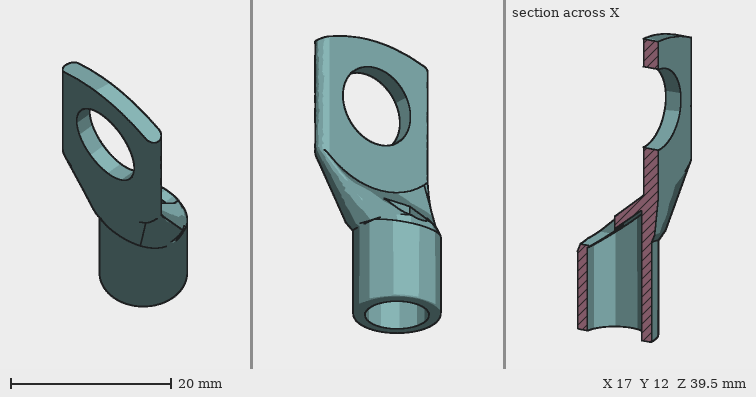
import cadquery as cq
import math

height = 39.45
depth = 12.0

barrel_dia = 11.0
bore_dia = 8.0
mouth_fillet = 0.28
barrel_r = barrel_dia / 2
bore_end_axis_z = 13.92
bore_end_slope = 0.77

palm_width = 17.0
palm_thickness = 2.25
palm_top_corner_z = 37.65
palm_low_corner_z = 22.8
palm_low_mid_z = 19.0
palm_hole_dia = 10.5
palm_hole_z = 30.53
palm_edge_r = palm_thickness / 2
palm_flat_half = palm_width / 2 - palm_edge_r
palm_front_y = barrel_r - depth
palm_back_y = palm_front_y + palm_thickness
palm_mid_y = palm_front_y + palm_edge_r

edge_arc_r = 8.87
edge_low_y = 0.4
edge_low_z = 10.85
edge_back_z = 10.18
front_corner_y = -3.75
back_corner_y = 2.13

collar_foot_r = 4.55
collar_foot_z = 5.9

rim_front = cq.Vector(0, -5.95, 14.1)
rim_front_corner = cq.Vector(4.5, -4.7, 13.35)
rim_side = cq.Vector(5.5, -1.4, 11.55)
rim_back_corner = cq.Vector(4.95, back_corner_y, 11.1)
rim_back = cq.Vector(0, 4.9, 11.67)

window_dia = 3.95
window_z = 13.17
window_top_z = 17.75

join_tolerance = 0.001
curve_steps = 12
fractions = [step / curve_steps for step in range(curve_steps + 1)]


def mirrored(point):
    """Return the matching point on the other side of the YZ plane."""
    return cq.Vector(-point.x, point.y, point.z)


def barrel_edge_z(y):
    """Height of the upper edge of the barrel."""
    if y > back_corner_y:
        fall = (y - back_corner_y) / (barrel_r - back_corner_y)
        start_z = barrel_edge_z(back_corner_y)
        return start_z + (edge_back_z - start_z) * fall
    return edge_low_z + edge_arc_r - math.sqrt(edge_arc_r**2 - (y - edge_low_y) ** 2)


def collar_foot_level(y):
    """Level height of the foot of the collar."""
    return collar_foot_z


def round_ring(radius, z_at):
    """Ring around the barrel axis, split at the corners: front, right, back, left."""
    front_angle = math.asin(front_corner_y / barrel_r)
    back_angle = math.asin(back_corner_y / barrel_r)
    corners = [
        -math.pi - front_angle,
        front_angle,
        back_angle,
        math.pi - back_angle,
        math.pi - front_angle,
    ]
    arcs = []
    for start, end in zip(corners, corners[1:]):
        points = []
        for t in fractions:
            angle = start + (end - start) * t
            y_on_barrel = barrel_r * math.sin(angle)
            points.append(cq.Vector(radius * math.cos(angle), radius * math.sin(angle), z_at(y_on_barrel)))
        arcs.append(cq.Edge.makeSpline(points, parameters=fractions))
    return cq.Wire.assembleEdges(arcs)


def rim_ring():
    """Ring at the foot of the shoulder, in the same order as the barrel ring."""
    arcs = [
        cq.Edge.makeThreePointArc(mirrored(rim_front_corner), rim_front, rim_front_corner),
        cq.Edge.makeThreePointArc(rim_front_corner, rim_side, rim_back_corner),
        cq.Edge.makeThreePointArc(rim_back_corner, rim_back, mirrored(rim_back_corner)),
        cq.Edge.makeThreePointArc(mirrored(rim_back_corner), mirrored(rim_side), mirrored(rim_front_corner)),
    ]
    return cq.Wire.assembleEdges(arcs)


def palm_low_z(x):
    """Height of the arched lower boundary of the palm."""
    rise = palm_low_corner_z - palm_low_mid_z
    arch_r = ((palm_width / 2) ** 2 + rise**2) / (2 * rise)
    return palm_low_mid_z + arch_r - math.sqrt(arch_r**2 - x**2)


def palm_level_z(x):
    """Level upper end of the palm before its top is rounded."""
    return height


def palm_point(x, y, z_at):
    return cq.Vector(x, y, z_at(x))


def palm_flat(side, y, z_at):
    """Edge across one flat face of the palm, starting on the given side."""
    points = [palm_point(side * palm_flat_half * (1 - 2 * t), y, z_at) for t in fractions]
    return cq.Edge.makeSpline(points, parameters=fractions)


def palm_round(side, z_at):
    """Half circle around one long edge of the palm, seen along Z."""
    points = []
    for t in fractions:
        angle = side * math.pi * (t - 0.5)
        x = side * (palm_flat_half + palm_edge_r * math.cos(angle))
        points.append(palm_point(x, palm_mid_y + palm_edge_r * math.sin(angle), z_at))
    return cq.Edge.makeSpline(points, parameters=fractions)


def palm_ring(z_at):
    """Ring around the palm, in the same order as the barrel ring."""
    edges = [
        palm_flat(-1, palm_front_y, z_at),
        palm_round(1, z_at),
        palm_flat(1, palm_back_y, z_at),
        palm_round(-1, z_at),
    ]
    return cq.Wire.assembleEdges(edges)


def barrel():
    """Solid barrel trimmed along its upper edge."""
    side_profile = (
        cq.Workplane("YZ")
        .moveTo(-barrel_r, 0)
        .lineTo(-barrel_r, barrel_edge_z(-barrel_r))
        .threePointArc((edge_low_y, edge_low_z), (back_corner_y, barrel_edge_z(back_corner_y)))
        .lineTo(barrel_r, edge_back_z)
        .lineTo(barrel_r, 0)
        .close()
        .extrude(barrel_dia, both=True)
    )
    cylinder = cq.Workplane("XY").circle(barrel_r).extrude(height)
    return cylinder.faces("<Z").edges().fillet(mouth_fillet).intersect(side_profile)


def collar_shoulder_and_palm():
    """Straight-ruled stretches between rings, from inside the barrel to the palm top."""
    rings = [
        round_ring(collar_foot_r, collar_foot_level),
        round_ring(barrel_r, barrel_edge_z),
        rim_ring(),
        palm_ring(palm_low_z),
        palm_ring(palm_level_z),
    ]
    return cq.Workplane(cq.Solid.makeLoft(rings, ruled=True)).intersect(palm_top_outline())


def palm_top_outline():
    """Block whose arched top rounds the upper end of the palm."""
    half = palm_width / 2
    return (
        cq.Workplane("XZ")
        .moveTo(-half, 0)
        .lineTo(half, 0)
        .lineTo(half, palm_top_corner_z)
        .threePointArc((0, height), (-half, palm_top_corner_z))
        .close()
        .extrude(depth, both=True)
    )


def palm_hole():
    return (
        cq.Workplane("XZ")
        .center(0, palm_hole_z)
        .circle(palm_hole_dia / 2)
        .extrude(depth, both=True)
    )


def bore():
    """Round bore whose closed end slopes with the shoulder."""
    bore_r = bore_dia / 2
    end_rise = bore_end_slope * bore_r
    side_profile = (
        cq.Workplane("YZ")
        .moveTo(-bore_r, 0)
        .lineTo(bore_r, 0)
        .lineTo(bore_r, bore_end_axis_z - end_rise)
        .lineTo(-bore_r, bore_end_axis_z + end_rise)
        .close()
        .extrude(bore_dia, both=True)
    )
    return cq.Workplane("XY").circle(bore_r).extrude(height).intersect(side_profile)


def window():
    """Upright slot with a round lower end."""
    half = window_dia / 2
    return (
        cq.Workplane("XZ")
        .moveTo(-half, window_top_z)
        .lineTo(-half, window_z)
        .threePointArc((0, window_z - half), (half, window_z))
        .lineTo(half, window_top_z)
        .close()
        .extrude(-depth)
    )


solid = collar_shoulder_and_palm().union(barrel(), tol=join_tolerance)
result = solid.cut(palm_hole()).cut(bore()).cut(window())